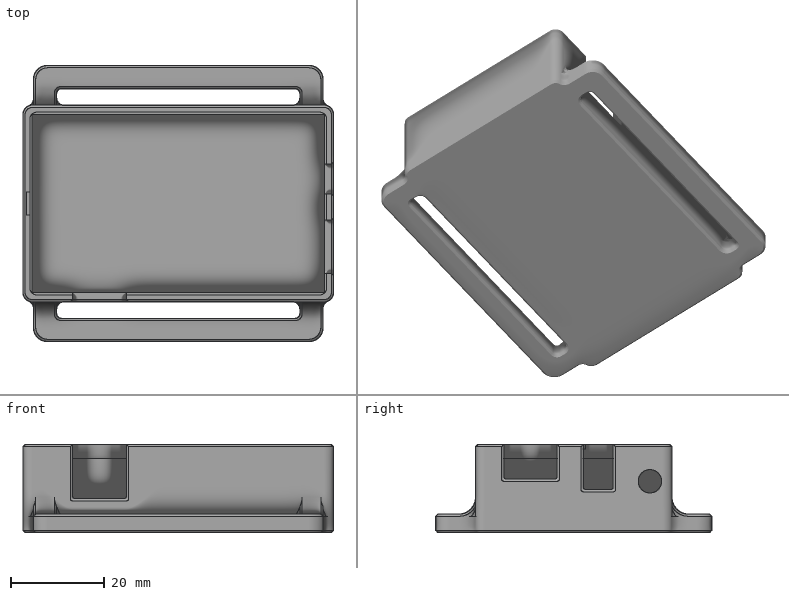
import cadquery as cq
import math

box_length = 66.5
box_width = 42.1
box_height = 18.9
overall_width = 59.1
edge_chamfer = 0.5
corner_radius = 2.0

wall = 2.0
floor_thickness = 2.0
recess_wall = 1.5
recess_depth = 3.0
recess_corner_radius = 1.5

strap_length = 62.0
strap_height = 4.0
strap_corner_radius = 3.0
slot_length = 52.0
slot_width = 3.5
slot_corner_radius = 1.0

flare_radius = 1.5
flare_straight_height = strap_height - edge_chamfer
flare_height = 5.5
flare_step = 0.05

front_opening = (-16.85, 11.5, 7.3)
end_openings = [(5.25, 6.4, 9.25), (-9.25, 11.4, 11.5)]
opening_chamfer = 0.5
opening_corner_radius = 0.5

notch_length = 5.0
notch_lip = 0.75
notch_depth = 1.0

hole_diameter = 5.0
hole_y = 16.3
hole_z = 11.0

half_length = box_length / 2
half_width = box_width / 2
half_strap = strap_length / 2
half_slot = slot_length / 2
strap_edge_y = overall_width / 2
slot_edge_y = half_width + slot_width
cove_top = strap_height + slot_width
arc_center_x = half_length - corner_radius
arc_center_y = half_width - corner_radius
tolerance = 0.01


def block(length, width, bottom, top):
    """Block centered on the Z axis between two heights."""
    return cq.Workplane("XY").workplane(offset=bottom).rect(length, width).extrude(top - bottom)


def make_box():
    """Solid box above the base slab, with rounded upright corners and a chamfered top rim."""
    body = block(box_length, box_width, flare_straight_height, box_height)
    body = body.edges("|Z").fillet(corner_radius)
    return body.faces(">Z").edges().chamfer(edge_chamfer)


def make_slot():
    """Cutter for the strap slot on the +Y side, rounded at the bar and reaching into the box."""
    slot = block(slot_length, 2 * slot_width, 0, box_height)
    return slot.edges("|Z and >Y").fillet(slot_corner_radius).translate((0, half_width, 0))


def is_leg_root(edge):
    """True for an upright inside corner where a leg side meets the wall."""
    middle = edge.Center()
    on_wall = abs(abs(middle.y) - half_width) < tolerance
    return on_wall and min(abs(abs(middle.x) - x) for x in (half_strap, half_slot)) < tolerance


def make_base():
    """Lower slab of box and straps, with flared leg roots and a chamfered underside."""
    footprint = block(box_length, box_width, 0, flare_straight_height)
    footprint = footprint.edges("|Z").fillet(corner_radius)
    straps = block(strap_length, overall_width, 0, flare_straight_height)
    straps = straps.edges("|Z").fillet(strap_corner_radius)
    slot = make_slot()
    base = straps.cut(slot).cut(slot.mirror("XZ")).union(footprint)
    roots = [edge for edge in base.edges("|Z").vals() if is_leg_root(edge)]
    base = base.newObject(roots).fillet(flare_radius)
    return base.faces("<Z").edges().chamfer(edge_chamfer)


def is_strap_top_edge(edge):
    """True for the upper rims of the strap, along its bar, its coves and its slot."""
    bounds = edge.BoundingBox()
    if bounds.zmin < strap_height - tolerance or bounds.ymin < half_width - tolerance:
        return False
    if edge.geomType() != "LINE":
        return True
    runs_along_y = bounds.ylen > tolerance
    on_bar_side = abs(bounds.ymin - strap_edge_y) < tolerance
    spans_middle = bounds.xmin < 0 < bounds.xmax
    on_slot_side = abs(bounds.ymin - slot_edge_y) < tolerance and spans_middle
    return bounds.zmax < cove_top and (runs_along_y or on_bar_side or on_slot_side)


def make_strap():
    """Upper part of the +Y loop: a bar on two legs, each swept up the wall by a cove."""
    root_y = half_width - recess_wall
    root_top = cove_top + edge_chamfer
    strap = (
        cq.Workplane("YZ")
        .workplane(offset=-half_strap)
        .moveTo(root_y, edge_chamfer)
        .lineTo(strap_edge_y, edge_chamfer)
        .lineTo(strap_edge_y, strap_height)
        .lineTo(slot_edge_y, strap_height)
        .radiusArc((half_width, cove_top), slot_width)
        .lineTo(half_width, root_top)
        .lineTo(root_y, root_top)
        .close()
        .extrude(strap_length)
        .edges("|Z and >Y")
        .fillet(strap_corner_radius)
    )
    strap = strap.cut(make_slot())
    rims = [edge for edge in strap.edges().vals() if is_strap_top_edge(edge)]
    strap = strap.newObject(rims).chamfer(edge_chamfer)
    return strap.intersect(block(box_length, 2 * overall_width, flare_straight_height, box_height))


def make_flare(leg_x, center, root_point):
    """Upper end of a concave leg flare, set back by a tiny step and fading out towards its top."""
    top_radius = flare_radius * math.sqrt(2)
    rise = flare_height - flare_straight_height
    upper = cq.Workplane("XY").workplane(offset=flare_straight_height)
    outline = [(leg_x, center[1]), center, root_point, (leg_x, arc_center_y)]
    web = upper.polyline(outline).close().extrude(rise)
    fade = upper.center(*center).circle(flare_radius + flare_step).workplane(offset=rise)
    return web.cut(fade.circle(top_radius).loft())


def make_inner_flare():
    """Flare between the slot end at +X and the flat wall."""
    center_x = half_slot - flare_radius
    return make_flare(half_slot, (center_x, half_width + flare_radius), (center_x, arc_center_y))


def make_outer_flare():
    """Flare between the outer leg side at +X and the rounded box corner, tangent to both."""
    center_x = half_strap + flare_radius
    reach = corner_radius + flare_radius
    offset_x = center_x - arc_center_x
    offset_y = math.sqrt(reach**2 - offset_x**2)
    center = (center_x, arc_center_y + offset_y)
    return make_flare(half_strap, center, (arc_center_x, arc_center_y))


def make_cavity():
    """Square-cornered pocket topped by the wider rounded lid recess."""
    pocket = block(box_length - 2 * wall, box_width - 2 * wall, floor_thickness, box_height)
    recess = block(
        box_length - 2 * recess_wall,
        box_width - 2 * recess_wall,
        box_height - recess_depth,
        box_height,
    )
    return pocket.union(recess.edges("|Z").fillet(recess_corner_radius))


def rounded_rectangle(width, height):
    """Sketch of an opening outline with small corner radii."""
    return cq.Sketch().rect(width, height).vertices().fillet(opening_corner_radius)


def make_opening(wall_plane, center, width, sill):
    """Cutter for an opening up through the rim; its outer edges are chamfered."""
    height = 2 * (box_height - sill)
    clear = rounded_rectangle(width, height)
    flared = rounded_rectangle(width + 2 * opening_chamfer, height + 2 * opening_chamfer)
    face = wall_plane.center(center, sill + height / 2)
    through = face.placeSketch(clear).extrude(-2 * wall)
    bevel = face.placeSketch(
        clear.moved(cq.Location(cq.Vector(0, 0, -opening_chamfer))),
        flared,
    ).loft()
    return through.union(bevel)


def make_rim_notch():
    """Cutter at the middle of the -X rim that leaves only a thin outer lip."""
    notch = block(wall, notch_length, box_height - notch_depth, box_height)
    return notch.translate((notch_lip + wall / 2 - half_length, 0, 0))


box = make_box()
loop = make_strap()
for flare in (make_inner_flare(), make_outer_flare()):
    loop = loop.union(flare).union(flare.mirror("YZ"))
body = make_base().union(box).union(loop).union(loop.mirror("XZ"))
body = body.cut(make_cavity()).cut(make_rim_notch())

front_wall = cq.Workplane("XZ", origin=(0, -half_width, 0))
end_wall = cq.Workplane("YZ", origin=(half_length, 0, 0))
body = body.cut(make_opening(front_wall, *front_opening))
for opening in end_openings:
    body = body.cut(make_opening(end_wall, *opening))
hole = end_wall.center(hole_y, hole_z).circle(hole_diameter / 2).extrude(-2 * wall)

result = body.cut(hole)